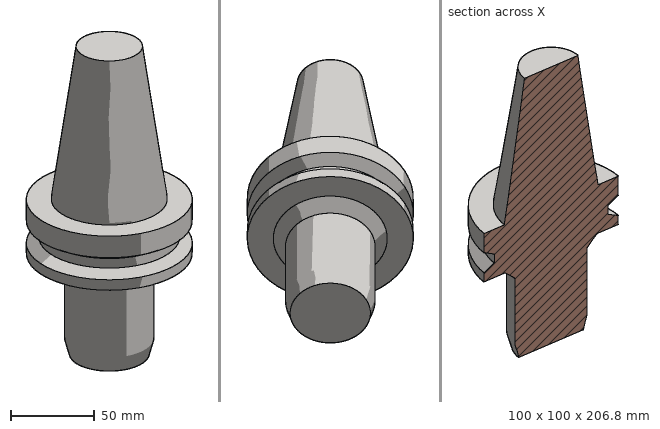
import cadquery as cq

total_length = 206.8
flange_radius = 100.0 / 2
groove_radius = 85.0 / 2
taper_base_radius = 70.0 / 2
taper_tip_radius = 20.0
shank_radius = 54.0 / 2
nose_radius = 24.2
collar_radius = 34.3

nose_height = 10.3
collar_bottom = 60.2
flange_bottom = 67.5
lower_rim_top = 74.5
groove_bottom = 78.5
groove_top = 85.0
upper_rim_bottom = 89.3
flange_top = 103.8
taper_base = 105.0

half_section = [
    (0, 0),
    (nose_radius, 0),
    (shank_radius, nose_height),
    (shank_radius, collar_bottom),
    (collar_radius, flange_bottom),
    (flange_radius, flange_bottom),
    (flange_radius, lower_rim_top),
    (groove_radius, groove_bottom),
    (groove_radius, groove_top),
    (flange_radius, upper_rim_bottom),
    (flange_radius, flange_top),
    (taper_base_radius, flange_top),
    (taper_base_radius, taper_base),
    (taper_tip_radius, total_length),
    (0, total_length),
]

result = cq.Workplane("XZ").polyline(half_section).close().revolve(360, (0, 0, 0), (0, 1, 0))